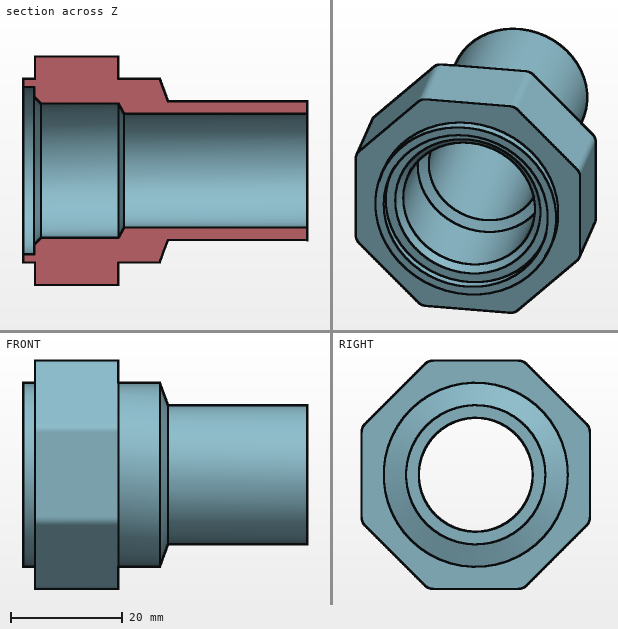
import cadquery as cq
import math

length = 51.0
nut_start = 2.1
nut_width = 15.0
shoulder_start = 24.55
shoulder_end = 26.0

across_flats = 41.0
nut_sides = 8
nut_edge_radius = 2.0
collar_radius = 16.5
tube_radius = 12.5

recess_radius = 15.0
recess_depth = 2.0
socket_radius = 12.05
socket_chamfer = 1.2
bore_radius = 10.2
taper_start = nut_start + nut_width
taper_length = 1.0
chamfer_end = recess_depth + socket_chamfer


def revolve_about_x(profile):
    """Turn a closed (x, radius) profile around the X axis."""
    return cq.Workplane("XY").polyline(profile).close().revolve(360, (0, 0, 0), (1, 0, 0))


def octagonal_nut():
    """Octagonal prism with flats square to Y and Z and rounded long edges."""
    half_side_angle = math.pi / nut_sides
    across_corners = across_flats / math.cos(half_side_angle)
    return (
        cq.Workplane("YZ")
        .workplane(offset=nut_start)
        .polygon(nut_sides, across_corners)
        .extrude(nut_width)
        .rotate((0, 0, 0), (1, 0, 0), math.degrees(half_side_angle))
        .edges("|X")
        .fillet(nut_edge_radius)
    )


body = revolve_about_x([
    (0, 0),
    (0, collar_radius),
    (shoulder_start, collar_radius),
    (shoulder_end, tube_radius),
    (length, tube_radius),
    (length, 0),
])

bore = revolve_about_x([
    (0, 0),
    (0, recess_radius),
    (recess_depth, recess_radius),
    (recess_depth, socket_radius + socket_chamfer),
    (chamfer_end, socket_radius),
    (taper_start, socket_radius),
    (taper_start + taper_length, bore_radius),
    (length, bore_radius),
    (length, 0),
])

result = body.union(octagonal_nut()).cut(bore)